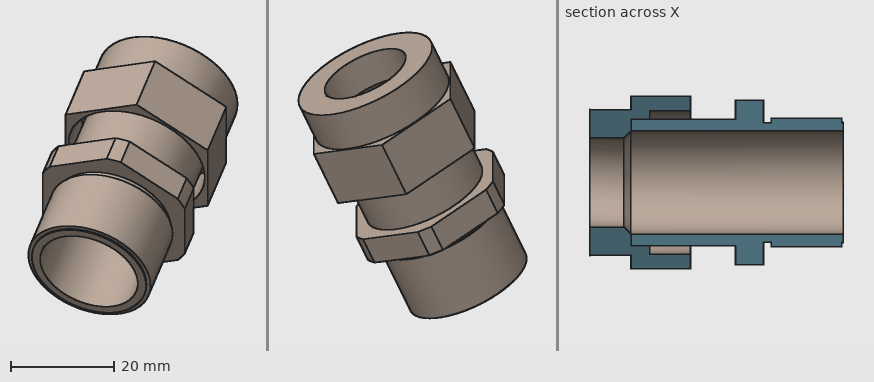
import cadquery as cq

overall_length = 49.2
front_end = -overall_length / 2
rear_end = front_end + overall_length
thread_length = 14.0
relief_length = 1.45
collar_length = 5.5
neck_length = 8.65
nut_hex_length = 11.55
thread_end = front_end + thread_length
collar_front = thread_end + relief_length
collar_rear = collar_front + collar_length
nut_front = collar_rear + neck_length
nut_hex_rear = nut_front + nut_hex_length

across_flats = 29.0
collar_corner_diameter = 31.95
thread_diameter = 24.95
relief_diameter = 23.3
neck_diameter = 24.6
dome_diameter = 28.4
lead_step_length = 0.3

bore_diameter = 19.95
cable_hole_diameter = 17.2
seat_length = (bore_diameter - cable_hole_diameter) / 2
mouth_diameter = 27.8
mouth_depth = 7.85
neck_rear = nut_hex_rear


def cylinder(diameter, start, end):
    """Cylinder along +Y between two Y positions."""
    return cq.Workplane("XZ", origin=(0, start, 0)).circle(diameter / 2).extrude(start - end)


def cone(start_diameter, end_diameter, start, end):
    """Truncated cone along +Y between two Y positions."""
    profile = [(0, start), (start_diameter / 2, start), (end_diameter / 2, end), (0, end)]
    return cq.Workplane("XY").polyline(profile).close().revolve(360, (0, 0, 0), (0, 1, 0))


def hexagon(start, end):
    """Hexagonal prism along +Y with corners at the top and bottom."""
    outline = cq.Workplane("XZ", origin=(0, start, 0)).polygon(6, across_flats, circumscribed=True)
    return outline.extrude(start - end)


def make_body():
    """Threaded gland body with a collar whose hexagon corners are turned round."""
    lead_end = front_end + lead_step_length
    body = cylinder(relief_diameter, front_end, lead_end)
    body = body.union(cylinder(thread_diameter, lead_end, thread_end))
    body = body.union(cylinder(relief_diameter, thread_end, collar_front))
    collar_blank = cylinder(collar_corner_diameter, collar_front, collar_rear)
    body = body.union(hexagon(collar_front, collar_rear).intersect(collar_blank))
    body = body.union(cylinder(neck_diameter, collar_rear, neck_rear))
    return body.cut(cylinder(bore_diameter, front_end, neck_rear))


def make_nut():
    """Dome nut: socket for the neck, wider mouth, and a 45 degree seat narrowing to the cable hole."""
    nut = hexagon(nut_front, nut_hex_rear)
    nut = nut.union(cylinder(dome_diameter, nut_hex_rear, rear_end))
    nut = nut.cut(cylinder(mouth_diameter, nut_front, nut_front + mouth_depth))
    nut = nut.cut(cylinder(neck_diameter, nut_front, neck_rear))
    seat_rear = neck_rear + seat_length
    nut = nut.cut(cone(bore_diameter, cable_hole_diameter, neck_rear, seat_rear))
    return nut.cut(cylinder(cable_hole_diameter, seat_rear, rear_end))


body = make_body()
nut = make_nut()
result = cq.Compound.makeCompound([body.val(), nut.val()])